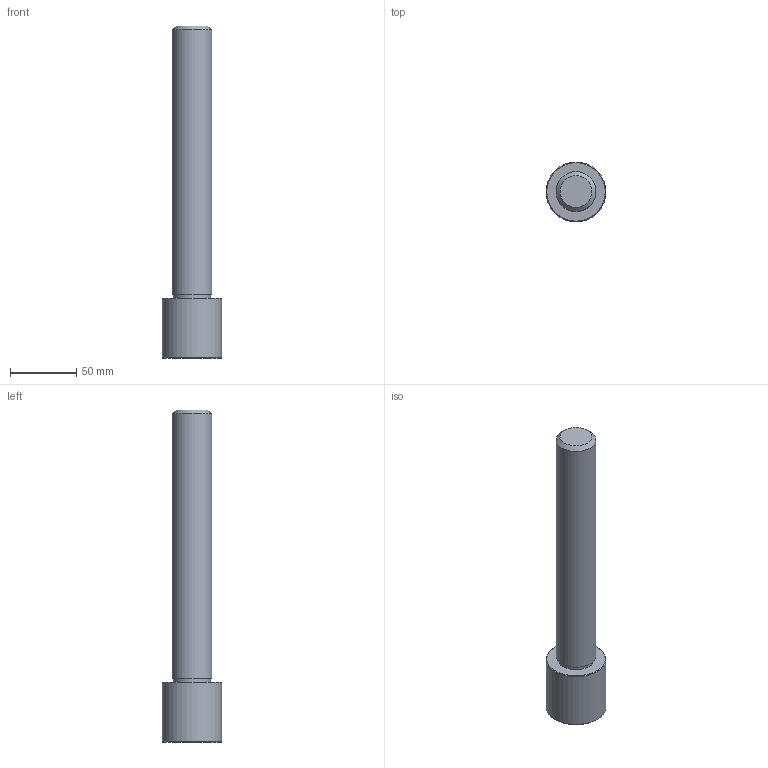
import cadquery as cq

total_length = 250.0
head_diameter = 45.0
head_height = 45.0
head_edge_chamfer = 0.5

shank_diameter = 30.0
tip_chamfer = 3.0
neck_diameter = 28.0
neck_length = 3.0


def cylinder(diameter, base_z, height):
    """Upright cylinder centred on the Z axis, standing on base_z."""
    return cq.Workplane("XY").workplane(offset=base_z).circle(diameter / 2).extrude(height)


def make_head():
    """Large head with both rims broken."""
    head = cylinder(head_diameter, 0, head_height)
    return head.faces("<Z or >Z").edges().chamfer(head_edge_chamfer)


def make_neck():
    """Narrow neck between the head and the shank."""
    return cylinder(neck_diameter, head_height, neck_length)


def make_shank():
    """Long shank with a chamfered tip."""
    base_z = head_height + neck_length
    shank = cylinder(shank_diameter, base_z, total_length - base_z)
    return shank.faces(">Z").edges().chamfer(tip_chamfer)


result = make_head().union(make_neck()).union(make_shank())